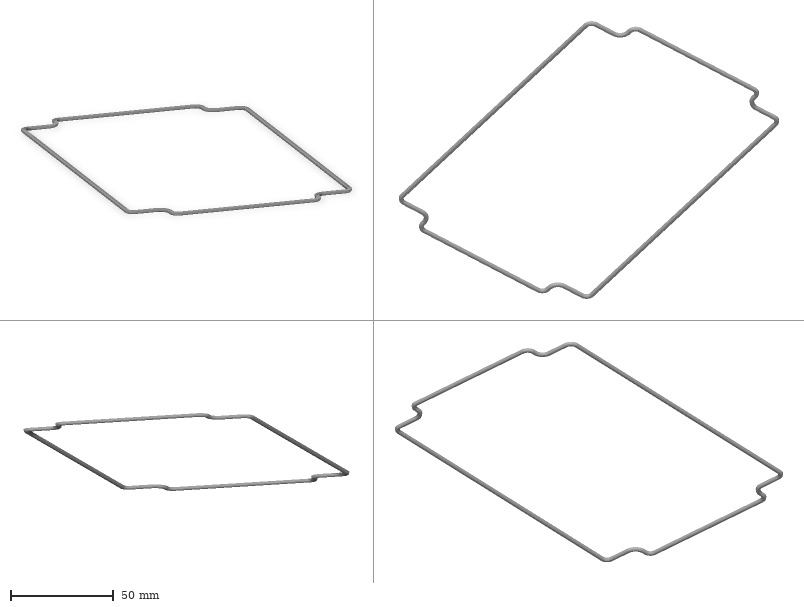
import cadquery as cq
import math

length = 177.5
width = 117.5
height = 1.5
band = 2.3

notch_x = 9.8
notch_y = 19.5

convex_radius = 4.6
concave_radius = 4.0

draft_inset = 0.2
foot_height = 0.45
foot_inset = 0.45


def outline(inset, z):
    """Notched rectangle at height z, lying a constant inset inside the outer edge."""
    end_x = length / 2 - inset
    side_y = width / 2 - inset
    inner_x = end_x - notch_x
    inner_y = side_y - notch_y
    outer_r = convex_radius - inset
    inner_r = concave_radius + inset
    outer_mid = outer_r * (1 - math.sqrt(0.5))
    inner_mid = inner_r * (1 - math.sqrt(0.5))

    quarter = [
        (
            (end_x, inner_y - outer_r),
            (end_x - outer_mid, inner_y - outer_mid),
            (end_x - outer_r, inner_y),
        ),
        (
            (inner_x + inner_r, inner_y),
            (inner_x + inner_mid, inner_y + inner_mid),
            (inner_x, inner_y + inner_r),
        ),
        (
            (inner_x, side_y - outer_r),
            (inner_x - outer_mid, side_y - outer_mid),
            (inner_x - outer_r, side_y),
        ),
    ]

    wire = cq.Workplane("XY", origin=(0, 0, z)).moveTo(end_x, 0)
    for sign_x, sign_y in [(1, 1), (-1, 1), (-1, -1), (1, -1)]:
        arcs = quarter
        if sign_x != sign_y:
            arcs = [arc[::-1] for arc in reversed(quarter)]
        for arc in arcs:
            start, middle, end = [(sign_x * x, sign_y * y) for x, y in arc]
            wire = wire.lineTo(*start).threePointArc(middle, end)
    return wire.close().val()


def layer(bottom_inset, top_inset, bottom_z, top_z):
    """Ring segment whose side walls lean evenly on both sides of the band."""
    outside = cq.Solid.makeLoft([outline(bottom_inset, bottom_z), outline(top_inset, top_z)], True)
    inside = cq.Solid.makeLoft(
        [outline(band - bottom_inset, bottom_z), outline(band - top_inset, top_z)], True
    )
    return cq.Workplane(outside).cut(cq.Workplane(inside))


foot = layer(draft_inset + foot_inset, draft_inset, 0, foot_height)
body = layer(draft_inset, 0, foot_height, height)
result = body.union(foot)